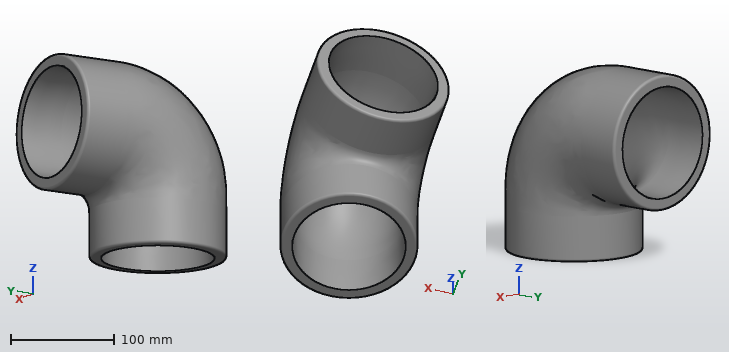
import cadquery as cq
import math

outer_diameter = 133.5
overall_length = 188.0
inner_bend_radius = 9.4
heel_straight = 19.5
rim_radius = 2.8
bore_diameter = 110.0
mouth_diameter = 110.1
bend_steps = 12

outer_radius = outer_diameter / 2
bend_radius = inner_bend_radius + outer_radius
collar_length = overall_length - outer_diameter - inner_bend_radius
mouth_distance = bend_radius + collar_length
heel_distance = inner_bend_radius + outer_diameter
heel_radius = heel_distance - heel_straight

leg_directions = [cq.Vector(0, 1, 0), cq.Vector(0, 0, -1)]


def heel_reach(angle):
    """Distance from the bend pivot to the outer bend, at an angle in radians."""
    cosine, sine = math.cos(angle), math.sin(angle)
    straight_end = math.atan2(heel_straight, heel_distance)
    if angle <= straight_end:
        return heel_distance / cosine
    if angle >= math.pi / 2 - straight_end:
        return heel_distance / sine
    along = heel_straight * (cosine + sine)
    across = heel_straight * (cosine - sine)
    return along + math.sqrt(heel_radius**2 - across**2)


def bend_section(angle):
    """Ellipse of constant width spanning from the crotch to the heel."""
    reach = heel_reach(angle)
    half_depth = (reach - inner_bend_radius) / 2
    distance = inner_bend_radius + half_depth
    radial = cq.Vector(0, -math.cos(angle), math.sin(angle))
    center = cq.Vector(0, bend_radius, -bend_radius) + radial * distance
    plane = cq.Plane(origin=center, xDir=radial, normal=radial.cross(cq.Vector(1, 0, 0)))
    return cq.Workplane(plane).ellipse(half_depth, outer_radius).val()


def make_bend():
    angles = [math.pi / 2 * step / bend_steps for step in range(bend_steps + 1)]
    sections = [bend_section(angle) for angle in angles]
    return cq.Workplane(cq.Solid.makeLoft(sections))


def make_collar(direction):
    plane = cq.Plane(origin=direction * bend_radius, xDir=(1, 0, 0), normal=direction)
    collar = cq.Workplane(plane).circle(outer_radius).extrude(collar_length)
    return collar.faces(cq.selectors.DirectionMinMaxSelector(direction)).edges().fillet(rim_radius)


def make_socket(direction):
    return cq.Workplane(cq.Solid.makeCone(
        mouth_diameter / 2,
        bore_diameter / 2,
        collar_length,
        pnt=direction * mouth_distance,
        dir=direction * -1,
    ))


def make_bend_bore():
    plane = cq.Plane(origin=(0, 0, -bend_radius), xDir=(1, 0, 0), normal=(0, 0, 1))
    bore = cq.Workplane(plane).circle(bore_diameter / 2)
    return bore.revolve(90, (0, bend_radius, 0), (-1, bend_radius, 0))


result = make_bend()
for leg_direction in leg_directions:
    result = result.union(make_collar(leg_direction))
result = result.cut(make_bend_bore())
for leg_direction in leg_directions:
    result = result.cut(make_socket(leg_direction))